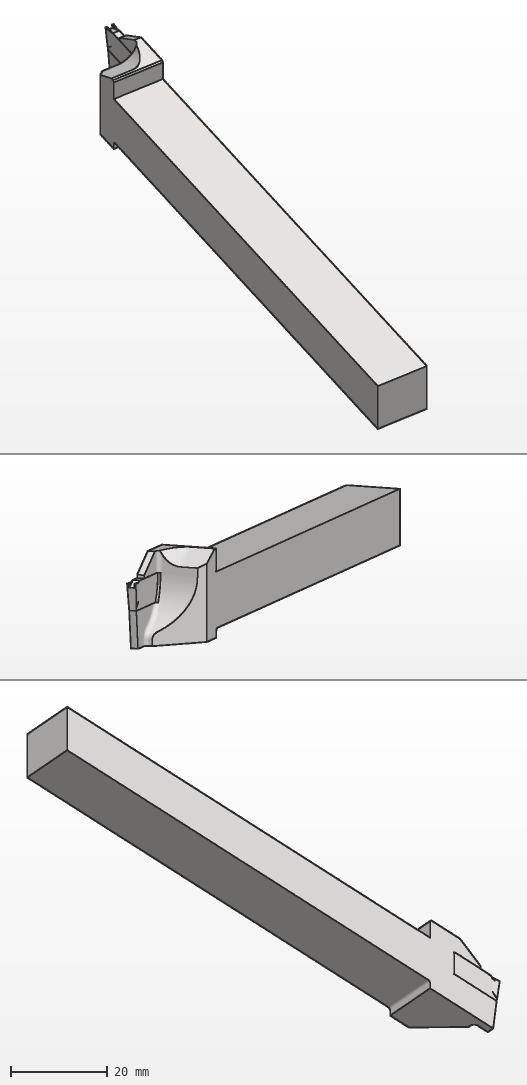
import cadquery as cq
import math


total_length = 125.0
shank_size = 12.0
shank_bottom = 2.0
cutting_height = shank_bottom + shank_size
head_height = 19.0
head_length = 20.0
head_rear_chamfer = 0.35
shank_root_radius = 0.6

blade_thickness = 1.62
blade_face = shank_size - blade_thickness
blade_middle = shank_size - blade_thickness / 2
front_relief = math.radians(7.0)
jaw_front = 5.3
jaw_nose_height = 15.0
jaw_crest = 11.3

insert_bottom = 8.2
insert_top = cutting_height + 0.3
seat_depth = 2.26
tip_width = 2.0
tip_length = 1.9
tip_overhang = (tip_width - blade_thickness) / 2
tip_foot_overhang = 0.05
tip_corner_height = 10.0
tip_foot_height = 8.8
chip_groove_width = 1.2
chip_groove_depth = 0.9
insert_ramp_end = 2.7

pocket_wall = 13.0
pocket_arc_radius = 12.5
pocket_arc_height = 13.9
pocket_toe = 5.75
pocket_toe_radius = 1.7
pocket_fillet = 1.1

flank_end = 14.5

runout_start_height = 15.8
runout_end = 19.0
runout_radius = 5.2
runout_tangent = 5.22

margin = 5.0
tolerance = 0.1


def relief_x(z):
    """X of the relieved front edge at height z."""
    return (cutting_height - z) * math.tan(front_relief)


def prism(points, y_start, y_end):
    """Solid from an XZ outline, between two Y positions."""
    outline = cq.Workplane("XZ", origin=(0, y_start, 0)).polyline(points).close()
    return outline.extrude(y_start - y_end)


def block(x_range, y_range, z_range):
    """Box given by its limits along each axis."""
    size = [end - start for start, end in (x_range, y_range, z_range)]
    corner = (x_range[0], y_range[0], z_range[0])
    return cq.Workplane("XY").box(*size, centered=False).translate(corner)


def make_insert():
    body = prism(
        [
            (0, cutting_height),
            (tip_length, cutting_height),
            (insert_ramp_end, insert_top),
            (pocket_wall, insert_top),
            (pocket_wall, insert_bottom),
            (relief_x(insert_bottom), insert_bottom),
        ],
        blade_face,
        shank_size,
    )
    return body.union(make_insert_tip()).cut(make_chip_groove())


def make_insert_tip():
    """Widened cutting tip, narrowing backwards and downwards for clearance."""

    def section(overhang):
        front = blade_thickness / 2 + overhang
        rear = blade_thickness / 2
        return [
            (0, blade_middle - front),
            (tip_length, blade_middle - rear),
            (tip_length, blade_middle + rear),
            (0, blade_middle + front),
        ]

    wedge = (
        cq.Workplane("XY", origin=(0, 0, tip_foot_height))
        .polyline(section(tip_foot_overhang))
        .close()
        .workplane(offset=cutting_height - tip_foot_height)
        .polyline(section(tip_overhang))
        .close()
        .loft(ruled=True)
    )
    side_outline = prism(
        [
            (0, cutting_height),
            (tip_length, cutting_height),
            (tip_length, tip_corner_height),
            (relief_x(tip_foot_height), tip_foot_height),
        ],
        0,
        shank_size + margin,
    )
    return wedge.intersect(side_outline)


def make_chip_groove():
    """Groove in the top of the tip, open at the cutting edge and rising to the rear."""
    outline = [
        (-margin, cutting_height - chip_groove_depth),
        (0, cutting_height - chip_groove_depth),
        (tip_length, cutting_height),
        (-margin, cutting_height),
    ]
    return prism(outline, blade_middle - chip_groove_width / 2, blade_middle + chip_groove_width / 2)


def make_pocket():
    """Void in front of the pocket wall, on the -Y side of the blade."""
    arc_center = (pocket_wall - pocket_arc_radius, pocket_arc_height)
    toe_center_x = pocket_toe + pocket_toe_radius
    reach = pocket_arc_radius + pocket_toe_radius
    run = toe_center_x - arc_center[0]
    drop = math.sqrt(reach**2 - run**2)
    toe_center = (toe_center_x, arc_center[1] - drop)
    joint_angle = math.atan2(-drop, run)

    def on_circle(center, radius, angle):
        return (center[0] + radius * math.cos(angle), center[1] + radius * math.sin(angle))

    joint = on_circle(arc_center, pocket_arc_radius, joint_angle)
    arc_middle = on_circle(arc_center, pocket_arc_radius, joint_angle / 2)
    toe_middle = on_circle(toe_center, pocket_toe_radius, math.pi + joint_angle / 2)

    return (
        cq.Workplane("XZ", origin=(0, -margin, 0))
        .moveTo(-margin, -margin)
        .lineTo(pocket_toe, -margin)
        .lineTo(pocket_toe, toe_center[1])
        .threePointArc(toe_middle, joint)
        .threePointArc(arc_middle, (pocket_wall, pocket_arc_height))
        .lineTo(pocket_wall, head_height + margin)
        .lineTo(-margin, head_height + margin)
        .close()
        .extrude(-(blade_face + margin))
    )


def make_runout():
    """Sloping channel that rises from the pocket wall to the head top."""
    slope = math.atan2(head_height - runout_start_height, runout_end - pocket_wall)
    along = cq.Vector(math.cos(slope), 0, math.sin(slope))
    floor_start = cq.Vector(pocket_wall, 0, runout_start_height) - along * margin
    section = cq.Plane(origin=floor_start.toTuple(), xDir=(0, 1, 0), normal=along.toTuple())
    wall = runout_tangent + runout_radius
    bend = math.sqrt(0.5) * runout_radius
    arc_middle = (runout_tangent + bend, runout_radius - bend)
    clear_height = 2 * runout_radius
    return (
        cq.Workplane(section)
        .moveTo(-margin, 0)
        .lineTo(runout_tangent, 0)
        .threePointArc(arc_middle, (wall, runout_radius))
        .lineTo(wall, clear_height)
        .lineTo(-margin, clear_height)
        .close()
        .extrude(head_length)
    )


def make_head():
    pocket = make_pocket()
    head = block((0, head_length), (0, shank_size), (0, head_height)).cut(pocket)
    wall_foot = cq.selectors.BoxSelector(
        (pocket_toe - tolerance, blade_face - tolerance, 0),
        (pocket_wall + tolerance, blade_face + tolerance, head_height - tolerance),
    )
    head = head.edges(wall_foot).fillet(pocket_fillet)

    seat_height = (insert_bottom, insert_top)
    seat = block((0, pocket_wall), (blade_face, shank_size), seat_height)
    relief_depth = (shank_size - seat_depth, blade_face)
    wall_relief = pocket.intersect(block((0, pocket_wall), relief_depth, seat_height))
    head = head.cut(seat).cut(wall_relief)

    return head.intersect(make_side_outline()).cut(make_flank()).cut(make_runout())


def make_side_outline():
    """Silhouette of the head in XZ: relieved lower jaw, sloping upper jaw, chamfered rear."""
    return prism(
        [
            (relief_x(0), 0),
            (head_length, 0),
            (head_length, head_height - head_rear_chamfer),
            (head_length - head_rear_chamfer, head_height),
            (jaw_crest, head_height),
            (jaw_front, jaw_nose_height),
            (jaw_front, insert_bottom),
            (relief_x(insert_bottom), insert_bottom),
        ],
        0,
        shank_size,
    )


def make_flank():
    """Wedge that bevels the -Y front side of the head at 45 degrees."""
    return (
        cq.Workplane("XY")
        .moveTo(flank_end, 0)
        .lineTo(flank_end - blade_face, blade_face)
        .lineTo(flank_end - blade_face, 0)
        .close()
        .extrude(head_height)
    )


def make_holder():
    shank = block((head_length, total_length), (0, shank_size), (shank_bottom, cutting_height))
    holder = make_head().union(shank)
    root = cq.selectors.NearestToPointSelector((head_length, shank_size / 2, shank_bottom))
    return holder.edges(root).fillet(shank_root_radius)


holder = make_holder()
insert = make_insert()
result = cq.Compound.makeCompound([holder.solids().val(), insert.solids().val()])